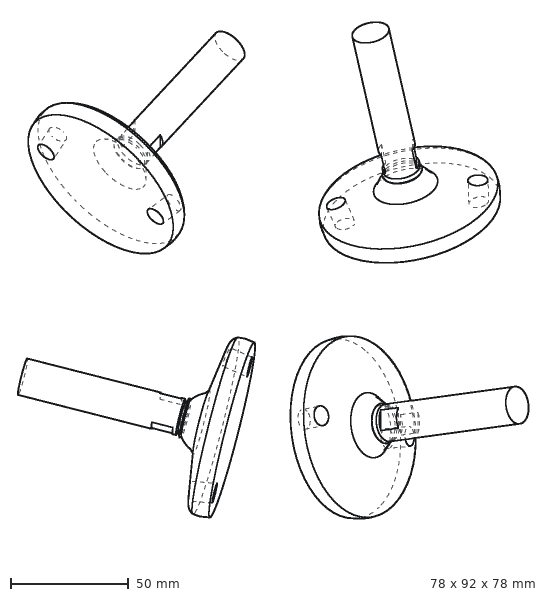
import cadquery as cq
import math

TOTAL_LENGTH = 92.0

PLATE_RADIUS = 78.0 / 2
BELLY_HEIGHT = 4.4
BASE_RADIUS = 38.4
SHOULDER_RADIUS = 38.7
SHOULDER_HEIGHT = 7.4
CONE_ANGLE = math.radians(9.5)
CONE_OUTER_RADIUS = 35.4
CONE_INNER_RADIUS = 13.9
CONE_TOP_HEIGHT = 13.5
RIM_BULGE = 0.4

DOME_RADIUS = 13.7
DOME_CENTRE_HEIGHT = 9.2
DOME_START_HEIGHT = 15.0
DOME_END_HEIGHT = 20.2
LIP_RADIUS = 8.65
LIP_HEIGHT = 20.9
LIP_SHOULDER_RADIUS = 7.5
LIP_SHOULDER_HEIGHT = 21.5
NECK_RADIUS = 5.5
NECK_HEIGHT = 22.2

HOLE_DIAMETER = 8.5
HOLE_BASE_OFFSET = 28.9
HOLE_OVERRUN = 4.6

SPINDLE_RADIUS = 16.0 / 2
SPINDLE_START = 22.6
FLAT_START = 24.2
FLAT_END = 33.5
FLATS_WIDTH = 13.3


def dome_radius_at(height):
    """Radius of the dome's circular section at a height above the base."""
    return math.sqrt(DOME_RADIUS**2 - (height - DOME_CENTRE_HEIGHT)**2)


def revolve_about_axis(profile):
    return profile.close().revolve(360, (0, 0, 0), (0, 1, 0))


def make_foot_body():
    cone_drop = (CONE_OUTER_RADIUS - CONE_INNER_RADIUS) * math.tan(CONE_ANGLE)
    cone_bottom_height = CONE_TOP_HEIGHT - cone_drop
    rim_middle = (
        (SHOULDER_RADIUS + CONE_OUTER_RADIUS) / 2 + RIM_BULGE,
        (SHOULDER_HEIGHT + cone_bottom_height) / 2 + RIM_BULGE,
    )
    dome_middle_height = (DOME_START_HEIGHT + DOME_END_HEIGHT) / 2
    profile = (
        cq.Workplane("XY")
        .lineTo(BASE_RADIUS, 0)
        .lineTo(PLATE_RADIUS, BELLY_HEIGHT)
        .lineTo(SHOULDER_RADIUS, SHOULDER_HEIGHT)
        .threePointArc(rim_middle, (CONE_OUTER_RADIUS, cone_bottom_height))
        .lineTo(CONE_INNER_RADIUS, CONE_TOP_HEIGHT)
        .lineTo(dome_radius_at(DOME_START_HEIGHT), DOME_START_HEIGHT)
        .threePointArc(
            (dome_radius_at(dome_middle_height), dome_middle_height),
            (dome_radius_at(DOME_END_HEIGHT), DOME_END_HEIGHT),
        )
        .lineTo(LIP_RADIUS, LIP_HEIGHT)
        .threePointArc((LIP_SHOULDER_RADIUS, LIP_SHOULDER_HEIGHT), (NECK_RADIUS, NECK_HEIGHT))
        .lineTo(0, NECK_HEIGHT)
    )
    return revolve_about_axis(profile)


def make_mounting_hole(side):
    """Drill on the +X side (side = 1) or -X side (side = -1), leaning outward."""
    direction = cq.Vector(side * math.sin(CONE_ANGLE), math.cos(CONE_ANGLE), 0)
    base_point = cq.Vector(side * HOLE_BASE_OFFSET, 0, 0)
    start = base_point - direction * HOLE_OVERRUN
    length = CONE_TOP_HEIGHT + 2 * HOLE_OVERRUN
    return cq.Solid.makeCylinder(HOLE_DIAMETER / 2, length, start, direction)


def make_foot():
    foot = make_foot_body()
    for side in (-1, 1):
        foot = foot.cut(make_mounting_hole(side))
    return foot


def make_wrench_flat(side):
    """Block that cuts one wrench flat into the spindle."""
    centre_x = side * (FLATS_WIDTH + SPINDLE_RADIUS) / 2
    centre_y = (FLAT_START + FLAT_END) / 2
    return (
        cq.Workplane("XY")
        .box(SPINDLE_RADIUS, FLAT_END - FLAT_START, 2 * SPINDLE_RADIUS)
        .translate((centre_x, centre_y, 0))
    )


def make_spindle():
    """Round spindle, tapering at its lower end to the neck that rests on the foot."""
    profile = (
        cq.Workplane("XY")
        .moveTo(0, NECK_HEIGHT)
        .lineTo(NECK_RADIUS, NECK_HEIGHT)
        .lineTo(SPINDLE_RADIUS, SPINDLE_START)
        .lineTo(SPINDLE_RADIUS, TOTAL_LENGTH)
        .lineTo(0, TOTAL_LENGTH)
    )
    spindle = revolve_about_axis(profile)
    for side in (-1, 1):
        spindle = spindle.cut(make_wrench_flat(side))
    return spindle


foot = make_foot()
spindle = make_spindle()
result = cq.Compound.makeCompound([foot.val(), spindle.val()])